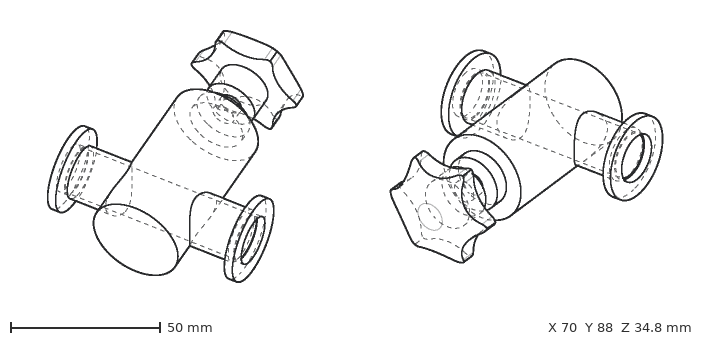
import cadquery as cq
import math


housing_diameter = 32.0
housing_front = -18.0
housing_length = 58.0
collar_diameter = 20.0
collar_length = 5.2
stem_diameter = 8.0
stem_length = 5.4

port_span = 70.0
port_diameter = 19.0
flange_diameter = 30.0
flange_rim_length = 3.1
flange_back_angle = 15
bore_diameter = 16.0
counterbore_diameter = 17.2
counterbore_depth = 3.0

overall_length = 88
hub_diameter = 18.2
hub_length = 9.5
lobe_count = 6
tip_radius = 20.0
valley_radius = 14.9
shoulder_radius = 18.6
shoulder_angle = 5.7
crown_flat_radius = 5.0
crown_drop = 5.0

housing_back = housing_front + housing_length
collar_back = housing_back + collar_length
stem_back = collar_back + stem_length
head_front = stem_back + hub_length
head_back = housing_front + overall_length


def cylinder_along_y(diameter, start, end):
    """Solid round bar on the valve axis between two Y stations."""
    bar = cq.Workplane("XZ", origin=(0, start, 0)).circle(diameter / 2)
    return bar.extrude(start - end)


def flanged_tube():
    """Both ports as one revolved bar: a tube with a taper-backed flange at each end."""
    half_span = port_span / 2
    tube_radius = port_diameter / 2
    flange_radius = flange_diameter / 2
    taper_length = (flange_radius - tube_radius) * math.tan(math.radians(flange_back_angle))
    rim_back = half_span - flange_rim_length
    taper_end = rim_back - taper_length
    profile = (
        cq.Workplane("XY")
        .moveTo(-half_span, 0)
        .lineTo(-half_span, flange_radius)
        .lineTo(-rim_back, flange_radius)
        .lineTo(-taper_end, tube_radius)
        .lineTo(taper_end, tube_radius)
        .lineTo(rim_back, flange_radius)
        .lineTo(half_span, flange_radius)
        .lineTo(half_span, 0)
        .close()
    )
    return profile.revolve(360, (0, 0, 0), (1, 0, 0))


def port_bore():
    """Through bore along X with a counterbore at each flange face."""
    bore = cq.Workplane("YZ").circle(bore_diameter / 2).extrude(port_span / 2, both=True)
    for side in (-1, 1):
        face = cq.Workplane("YZ", origin=(side * port_span / 2, 0, 0))
        bore = bore.union(face.circle(counterbore_diameter / 2).extrude(-side * counterbore_depth))
    return bore


def make_housing():
    """Valve body with its ports, end collar and the stem that carries the knob."""
    barrel = cylinder_along_y(housing_diameter, housing_front, housing_back)
    collar = cylinder_along_y(collar_diameter, housing_back, collar_back)
    stem = cylinder_along_y(stem_diameter, collar_back, stem_back)
    return barrel.union(flanged_tube()).union(collar).union(stem).cut(port_bore())


def polar(radius, degrees):
    """Cartesian pair for a radius and an angle in degrees."""
    angle = math.radians(degrees)
    return (radius * math.cos(angle), radius * math.sin(angle))


def tip_arc_middle():
    """Radius and angle of the middle of the arc from the tip at angle 0 to its shoulder.

    At the shoulder the arc is tangent to the valley arc.
    """
    half_pitch = 180 / lobe_count
    along, half_chord = polar(shoulder_radius, half_pitch - shoulder_angle)
    sagitta = along - valley_radius
    valley_slope = 2 * math.degrees(math.atan2(sagitta, half_chord))
    shoulder = polar(shoulder_radius, shoulder_angle)
    run = shoulder[0] - tip_radius
    rise = shoulder[1]
    chord = math.hypot(run, rise)
    chord_direction = math.degrees(math.atan2(rise, run))
    shoulder_direction = 90 + half_pitch + valley_slope
    turn = math.radians(shoulder_direction - chord_direction)
    bulge = polar(chord / 2 * math.tan(turn / 2), chord_direction - 90)
    x = (tip_radius + shoulder[0]) / 2 + bulge[0]
    y = shoulder[1] / 2 + bulge[1]
    return math.hypot(x, y), math.degrees(math.atan2(y, x))


def knob_star():
    """Six-lobed prism: shallow valleys joined by rounded lobes that meet in a ridge at each tip."""
    pitch = 360 / lobe_count
    middle_radius, middle_angle = tip_arc_middle()
    star = cq.Workplane("XZ", origin=(0, head_front, 0)).moveTo(tip_radius, 0)
    for lobe in range(lobe_count):
        tip = lobe * pitch
        next_tip = tip + pitch
        first_shoulder = polar(shoulder_radius, tip + shoulder_angle)
        valley = polar(valley_radius, tip + pitch / 2)
        second_shoulder = polar(shoulder_radius, next_tip - shoulder_angle)
        star = star.threePointArc(polar(middle_radius, tip + middle_angle), first_shoulder)
        star = star.threePointArc(valley, second_shoulder)
        star = star.threePointArc(
            polar(middle_radius, next_tip - middle_angle), polar(tip_radius, next_tip)
        )
    return star.close().extrude(head_front - head_back)


def knob_crown():
    """Round blank with a flat centre and an arc falling away to the rim."""
    run = tip_radius - crown_flat_radius
    crown_arc_radius = (run**2 + crown_drop**2) / (2 * crown_drop)
    half_turn = math.atan2(crown_drop, run)
    middle_x = crown_flat_radius + crown_arc_radius * math.sin(half_turn)
    middle_y = head_back - crown_arc_radius * (1 - math.cos(half_turn))
    profile = (
        cq.Workplane("XY")
        .moveTo(0, head_front)
        .lineTo(tip_radius, head_front)
        .lineTo(tip_radius, head_back - crown_drop)
        .threePointArc((middle_x, middle_y), (crown_flat_radius, head_back))
        .lineTo(0, head_back)
        .close()
    )
    return profile.revolve(360, (0, 0, 0), (0, 1, 0))


def make_knob():
    """Domed six-lobed hand knob with its round hub."""
    head = knob_star().intersect(knob_crown())
    return head.union(cylinder_along_y(hub_diameter, stem_back, head_front))


housing = make_housing()
knob = make_knob()

result = cq.Compound.makeCompound([housing.val(), knob.val()])